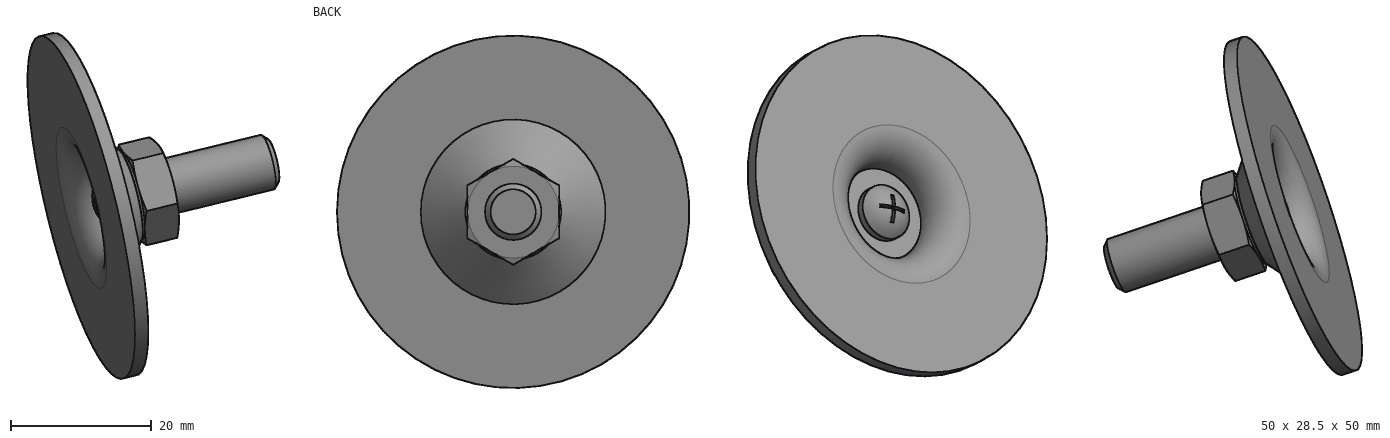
import cadquery as cq
import math


plate_radius = 25.0
plate_thickness = 2.0

hub_height = 5.0
hub_base_radius = 13.1
hub_top_radius = 6.8
hub_top = plate_thickness + hub_height

recess_depth = 5.0
recess_floor_radius = 6.75
recess_mouth_radius = recess_floor_radius + recess_depth

nut_sides = 6
nut_flats = 13.0
nut_height = 5.1
washer_height = 0.4
nut_chamfer_angle = 15.0
nut_bottom = hub_top + washer_height
nut_top = nut_bottom + nut_height

stud_radius = 4.0
stud_length = 16.0
stud_chamfer = 0.8
stud_end = nut_top + stud_length

dome_rim_height = 1.15
dome_height = 2.0
slot_length = 4.1
slot_width = 0.45
slot_depth = 1.0
dome_rim = recess_depth - dome_rim_height
dome_tip = dome_rim - dome_height


def revolve_about_y(profile):
    return profile.close().revolve(360, (0, 0, 0), (0, 1, 0))


def cylinder_along_y(radius, start, end):
    return cq.Workplane("XZ", origin=(0, start, 0)).circle(radius).extrude(start - end)


def make_foot():
    """Plate and hub with the bell-mouthed recess."""
    quarter = recess_depth * math.sqrt(0.5)
    flank_middle = (recess_mouth_radius - quarter, recess_depth - quarter)
    return revolve_about_y(
        cq.Workplane("XY")
        .moveTo(0, recess_depth)
        .lineTo(recess_floor_radius, recess_depth)
        .threePointArc(flank_middle, (recess_mouth_radius, 0))
        .lineTo(plate_radius, 0)
        .lineTo(plate_radius, plate_thickness)
        .lineTo(hub_base_radius, plate_thickness)
        .lineTo(hub_top_radius, hub_top)
        .lineTo(0, hub_top)
    )


def make_nut():
    """Hexagon with flats facing X, its corners turned off conically at both ends."""
    flat_radius = nut_flats / 2
    corner_radius = flat_radius / math.cos(math.pi / nut_sides)
    corner_drop = (corner_radius - flat_radius) * math.tan(math.radians(nut_chamfer_angle))
    hexagon = (
        cq.Workplane("XZ", origin=(0, nut_bottom, 0))
        .transformed(rotate=(0, 0, 90))
        .polygon(nut_sides, 2 * corner_radius)
        .extrude(-nut_height)
    )
    turned_blank = revolve_about_y(
        cq.Workplane("XY")
        .moveTo(0, nut_bottom)
        .lineTo(flat_radius, nut_bottom)
        .lineTo(corner_radius, nut_bottom + corner_drop)
        .lineTo(corner_radius, nut_top - corner_drop)
        .lineTo(flat_radius, nut_top)
        .lineTo(0, nut_top)
    )
    return hexagon.intersect(turned_blank)


def make_stud():
    stud = cylinder_along_y(stud_radius, nut_top, stud_end)
    return stud.faces(">Y").chamfer(stud_chamfer)


def make_dome():
    """Short cylinder closed by a spherical cap, cut by a cross slot."""
    cap_radius = (stud_radius**2 + dome_height**2) / (2 * dome_height)
    half_angle = math.asin(stud_radius / cap_radius) / 2
    cap_middle = (
        cap_radius * math.sin(half_angle),
        dome_tip + cap_radius * (1 - math.cos(half_angle)),
    )
    dome = revolve_about_y(
        cq.Workplane("XY")
        .moveTo(0, recess_depth)
        .lineTo(0, dome_tip)
        .threePointArc(cap_middle, (stud_radius, dome_rim))
        .lineTo(stud_radius, recess_depth)
    )
    for length_x, length_z in ((slot_length, slot_width), (slot_width, slot_length)):
        slot = cq.Workplane("XY").box(length_x, 2 * slot_depth, length_z)
        dome = dome.cut(slot.translate((0, dome_tip, 0)))
    return dome


washer = cylinder_along_y(nut_flats / 2, hub_top, nut_bottom)

result = make_foot().union(washer).union(make_nut()).union(make_stud()).union(make_dome())